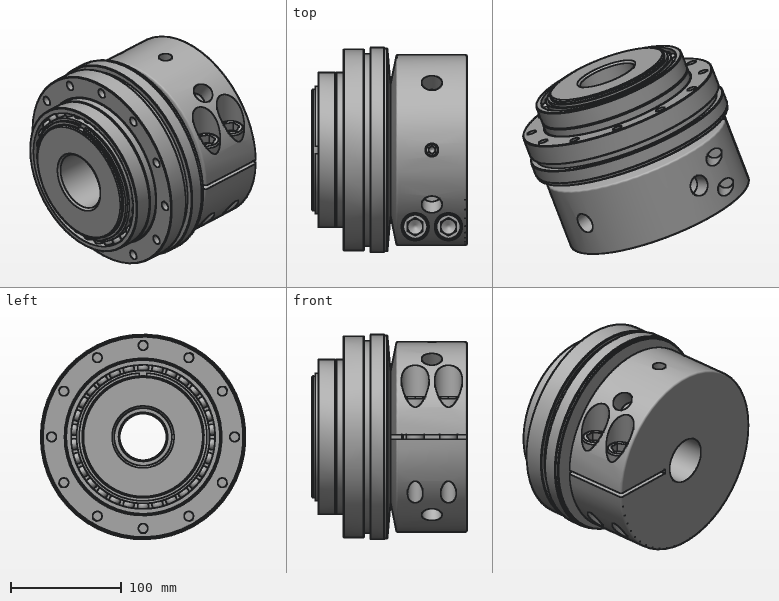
import cadquery as cq
import math

TOTAL_LENGTH = 140.0

NOSE_DIAMETER = 110.0
NOSE_CHAMFER = 1.2
SNAP_RING_DIAMETER = 115.4
SNAP_RING_START = 3.0
SNAP_RING_GAP = 7.0

BEARING_START = 5.5
BEARING_WIDTH = 16.0
BEARING_DIAMETER = 140.0
BEARING_CHAMFER = 0.7
RACE_INNER_DIAMETER = 120.0
RACE_OUTER_DIAMETER = 130.0
BALL_DIAMETER = 10.0
BALL_COUNT = 30

PILOT_DIAMETER = 140.0
UNDERCUT_DIAMETER = 142.0
UNDERCUT_DEPTH = 0.5
BOLT_FLANGE_START = 28.4
BOLT_FLANGE_END = 47.0
BOLT_FLANGE_DIAMETER = 182.0
NECK_DIAMETER = 174.0
RIM_START = 52.6
RIM_END = 65.4
RIM_DIAMETER = 185.0
RIM_STEP_DIAMETER = 183.4
RIM_STEP_END = 68.3
EDGE_CHAMFER = 0.7
BOLT_HOLE_DIAMETER = 8.5
BOLT_CIRCLE_DIAMETER = 165.0
BOLT_HOLE_COUNT = 12

GROOVE_BOTTOM_X = 71.0
GROOVE_BOTTOM_DIAMETER = 120.0

COLLAR_START = 76.3
COLLAR_DIAMETER = 172.0
COLLAR_EDGE_RADIUS = 2.0
COLLAR_MIDDLE_X = 108.2

BORE_LARGE_DIAMETER = 52.0
BORE_SMALL_DIAMETER = 42.0
BORE_STEP_X = 81.0
BORE_ENTRY_CHAMFER = 2.0
BORE_STEP_CHAMFER = 1.2

SLOT_WIDTH = 4.0
SLOT_FLOOR_BEVEL = 1.2
SCREW_SPACING = 30.0
SCREW_OFFSET_Y = -69.2
SCREW_DIAMETER = 16.0
SCREW_CLEARANCE_DIAMETER = 16.5
SCREW_TAP_DIAMETER = 14.0
SCREW_END_Z = -30.0
HEAD_DIAMETER = 24.0
HEAD_HEIGHT = 16.0
HEAD_TOP_Z = 36.2
HEAD_CHAMFER_RADIAL = 1.3
HEAD_CHAMFER_AXIAL = 1.6
COUNTERBORE_DIAMETER = 25.0
SOCKET_SIZE = 14.0
SOCKET_DEPTH = 8.0

WRENCH_HOLE_DIAMETER = 18.5
WRENCH_HOLE_DEPTH = 18.0
WRENCH_HOLE_ANGLES = (55.0, 135.0, -135.0, -55.0)

SET_SCREW_DIAMETER = 12.0
SET_SCREW_RECESS = 10.0
SET_SCREW_CHAMFER = 1.0
SET_SCREW_SOCKET_SIZE = 6.0
SET_SCREW_SOCKET_DEPTH = 6.0

BEARING_END = BEARING_START + BEARING_WIDTH
BALL_CENTER_X = BEARING_START + BEARING_WIDTH / 2
BALL_PITCH_RADIUS = (RACE_INNER_DIAMETER + RACE_OUTER_DIAMETER) / 4
COLLAR_RADIUS = COLLAR_DIAMETER / 2
HEAD_SEAT_Z = HEAD_TOP_Z - HEAD_HEIGHT
SCREW_CENTERS = [
    (COLLAR_MIDDLE_X + side * SCREW_SPACING / 2, SCREW_OFFSET_Y) for side in (-1, 1)
]
DRILL_POINT_SLOPE = math.tan(math.radians(30))


def ring(x_start, x_end, diameter, chamfer_start=0.0, chamfer_end=0.0):
    """Disc about the X axis with optional 45 degree edge chamfers."""
    body = cq.Workplane("YZ", origin=(x_start, 0, 0)).circle(diameter / 2).extrude(x_end - x_start)
    if chamfer_start:
        body = body.faces("<X").chamfer(chamfer_start)
    if chamfer_end:
        body = body.faces(">X").chamfer(chamfer_end)
    return body


def revolve_x(points):
    """Solid of revolution about X from (x, radius) outline points."""
    return cq.Workplane("XY").polyline(points).close().revolve(360, (0, 0, 0), (1, 0, 0))


def post(center, z_start, z_end, diameter):
    """Cylinder parallel to Z between two heights."""
    plane = cq.Workplane("XY", origin=(center[0], center[1], z_start))
    return plane.circle(diameter / 2).extrude(z_end - z_start)


def hex_socket(center, top_z, size, depth):
    """Hexagonal socket with corners towards +Y and -Y and a conical bottom."""
    corner_diameter = size / math.cos(math.radians(30))
    plane = cq.Workplane("XY", origin=(center[0], center[1], top_z))
    hexagon = plane.transformed(rotate=(0, 0, 90)).polygon(6, corner_diameter).extrude(-depth)
    radius = size / 2
    cone = cq.Solid.makeCone(
        radius, 0, radius * DRILL_POINT_SLOPE,
        pnt=cq.Vector(center[0], center[1], top_z - depth), dir=cq.Vector(0, 0, -1),
    )
    return hexagon.union(cq.Workplane(obj=cone))


def make_nose():
    """Hub nose with a split retaining ring in front of the bearing."""
    nose = ring(0, BEARING_START, NOSE_DIAMETER, chamfer_start=NOSE_CHAMFER)
    snap_ring = ring(SNAP_RING_START, BEARING_START, SNAP_RING_DIAMETER)
    gap = cq.Workplane("XY").box(
        TOTAL_LENGTH, SNAP_RING_GAP, SNAP_RING_DIAMETER, centered=(False, True, False)
    )
    return nose.union(snap_ring.cut(gap))


def make_bearing():
    """Bearing with an open annulus that shows the row of balls."""
    bearing = ring(BEARING_START, BEARING_END, BEARING_DIAMETER, BEARING_CHAMFER, BEARING_CHAMFER)
    annulus = ring(BEARING_START, BALL_CENTER_X, RACE_OUTER_DIAMETER)
    annulus = annulus.cut(ring(BEARING_START, BALL_CENTER_X, RACE_INNER_DIAMETER))
    bearing = bearing.cut(annulus)
    ball = cq.Solid.makeSphere(
        BALL_DIAMETER / 2, cq.Vector(0, 0, 0), cq.Vector(1, 0, 0), -90, 90, 360
    )
    for index in range(BALL_COUNT):
        angle = 2 * math.pi * index / BALL_COUNT
        center = cq.Vector(
            BALL_CENTER_X,
            BALL_PITCH_RADIUS * math.sin(angle),
            BALL_PITCH_RADIUS * math.cos(angle),
        )
        bearing = bearing.union(cq.Workplane(obj=ball.moved(cq.Location(center))))
    return bearing


def make_flanges():
    """Pilot, bolt flange with its hole circle, neck and outer rim."""
    undercut_floor = BOLT_FLANGE_START + UNDERCUT_DEPTH
    flanges = ring(BOLT_FLANGE_START, BOLT_FLANGE_END, BOLT_FLANGE_DIAMETER, EDGE_CHAMFER, EDGE_CHAMFER)
    flanges = flanges.cut(ring(BOLT_FLANGE_START, undercut_floor, UNDERCUT_DIAMETER))
    flanges = flanges.union(
        ring(BEARING_END, undercut_floor, PILOT_DIAMETER, chamfer_start=EDGE_CHAMFER)
    )
    holes = (
        cq.Workplane("YZ", origin=(BOLT_FLANGE_START, 0, 0))
        .polarArray(BOLT_CIRCLE_DIAMETER / 2, 0, 360, BOLT_HOLE_COUNT)
        .circle(BOLT_HOLE_DIAMETER / 2)
        .extrude(BOLT_FLANGE_END - BOLT_FLANGE_START)
    )
    flanges = flanges.cut(holes)
    flanges = flanges.union(ring(BOLT_FLANGE_END, RIM_START, NECK_DIAMETER))
    flanges = flanges.union(ring(RIM_START, RIM_END, RIM_DIAMETER, EDGE_CHAMFER, EDGE_CHAMFER))
    return flanges.union(ring(RIM_END, RIM_STEP_END, RIM_STEP_DIAMETER, chamfer_end=EDGE_CHAMFER))


def make_collar():
    """Clamping collar and the V groove that separates it from the rim."""
    groove_radius = GROOVE_BOTTOM_DIAMETER / 2
    rim_side = revolve_x([
        (RIM_STEP_END, 0),
        (RIM_STEP_END, RIM_STEP_DIAMETER / 2 - EDGE_CHAMFER),
        (GROOVE_BOTTOM_X, groove_radius),
        (GROOVE_BOTTOM_X, 0),
    ])
    collar = revolve_x([
        (GROOVE_BOTTOM_X, 0),
        (GROOVE_BOTTOM_X, groove_radius),
        (COLLAR_START, COLLAR_RADIUS),
        (TOTAL_LENGTH, COLLAR_RADIUS),
        (TOTAL_LENGTH, 0),
    ])
    outer_edges = cq.selectors.RadiusNthSelector(-1)
    return rim_side.union(collar.edges(outer_edges).fillet(COLLAR_EDGE_RADIUS))


def make_bore():
    """Stepped through bore with chamfered entry and step."""
    large_radius = BORE_LARGE_DIAMETER / 2
    small_radius = BORE_SMALL_DIAMETER / 2
    return revolve_x([
        (0, 0),
        (0, large_radius + BORE_ENTRY_CHAMFER),
        (BORE_ENTRY_CHAMFER, large_radius),
        (BORE_STEP_X, large_radius),
        (BORE_STEP_X, small_radius + BORE_STEP_CHAMFER),
        (BORE_STEP_X + BORE_STEP_CHAMFER, small_radius),
        (TOTAL_LENGTH, small_radius),
        (TOTAL_LENGTH, 0),
    ])


def make_slot():
    """Slot on the -Y side: open to the large bore, then with a bevelled closed floor."""
    bore_radius = BORE_LARGE_DIAMETER / 2
    return (
        cq.Workplane("XY", origin=(0, 0, -SLOT_WIDTH / 2))
        .polyline([
            (GROOVE_BOTTOM_X, -COLLAR_RADIUS),
            (GROOVE_BOTTOM_X, 0),
            (BORE_STEP_X, 0),
            (BORE_STEP_X, -bore_radius),
            (BORE_STEP_X + SLOT_FLOOR_BEVEL, -bore_radius - SLOT_FLOOR_BEVEL),
            (TOTAL_LENGTH, -bore_radius - SLOT_FLOOR_BEVEL),
            (TOTAL_LENGTH, -COLLAR_RADIUS),
        ])
        .close()
        .extrude(SLOT_WIDTH)
    )


def cut_wrench_holes(body):
    """Radial holes with a drill-point bottom around the collar."""
    floor_radius = COLLAR_RADIUS - WRENCH_HOLE_DEPTH
    hole_radius = WRENCH_HOLE_DIAMETER / 2
    floor_center = cq.Vector(COLLAR_MIDDLE_X, -floor_radius, 0)
    outward = cq.Vector(0, -1, 0)
    shaft = cq.Solid.makeCylinder(hole_radius, 2 * WRENCH_HOLE_DEPTH, floor_center, outward)
    point_height = hole_radius * DRILL_POINT_SLOPE
    point = cq.Solid.makeCone(hole_radius, 0, point_height, floor_center, -outward)
    hole = cq.Workplane(obj=shaft).union(cq.Workplane(obj=point))
    for angle in WRENCH_HOLE_ANGLES:
        body = body.cut(hole.rotate((0, 0, 0), (1, 0, 0), -angle))
    return body


def make_clamp_screw(center):
    """Socket head screw running across the slot."""
    head_radius = HEAD_DIAMETER / 2
    head = (
        cq.Workplane("XZ")
        .polyline([
            (0, HEAD_SEAT_Z),
            (head_radius, HEAD_SEAT_Z),
            (head_radius, HEAD_TOP_Z - HEAD_CHAMFER_AXIAL),
            (head_radius - HEAD_CHAMFER_RADIAL, HEAD_TOP_Z),
            (0, HEAD_TOP_Z),
        ])
        .close()
        .revolve(360, (0, 0, 0), (0, 1, 0))
        .translate((center[0], center[1], 0))
    )
    head = head.cut(hex_socket(center, HEAD_TOP_Z, SOCKET_SIZE, SOCKET_DEPTH))
    return head.union(post(center, SCREW_END_Z, HEAD_SEAT_Z, SCREW_DIAMETER))


def add_clamp_screws(body):
    """Counterbored clearance holes, tapped holes below the slot, and the screws."""
    for center in SCREW_CENTERS:
        body = body.cut(post(center, HEAD_SEAT_Z, COLLAR_RADIUS, COUNTERBORE_DIAMETER))
        body = body.cut(post(center, 0, HEAD_SEAT_Z, SCREW_CLEARANCE_DIAMETER))
        body = body.cut(post(center, -COLLAR_RADIUS, SCREW_END_Z, SCREW_TAP_DIAMETER))
        body = body.union(make_clamp_screw(center))
    return body


def add_set_screw(body):
    """Recessed set screw at the top of the collar."""
    center = (COLLAR_MIDDLE_X, 0)
    top_z = COLLAR_RADIUS - SET_SCREW_RECESS
    pocket_floor_z = top_z - SET_SCREW_CHAMFER
    body = body.cut(post(center, pocket_floor_z, COLLAR_RADIUS, SET_SCREW_DIAMETER))
    tip = cq.Workplane(obj=cq.Solid.makeCone(
        SET_SCREW_DIAMETER / 2, SET_SCREW_DIAMETER / 2 - SET_SCREW_CHAMFER, SET_SCREW_CHAMFER,
        pnt=cq.Vector(center[0], center[1], pocket_floor_z),
    ))
    body = body.union(tip)
    return body.cut(hex_socket(center, top_z, SET_SCREW_SOCKET_SIZE, SET_SCREW_SOCKET_DEPTH))


part = make_nose().union(make_bearing()).union(make_flanges()).union(make_collar())
part = part.cut(make_bore()).cut(make_slot())
part = cut_wrench_holes(part)
part = add_clamp_screws(part)
result = add_set_screw(part)